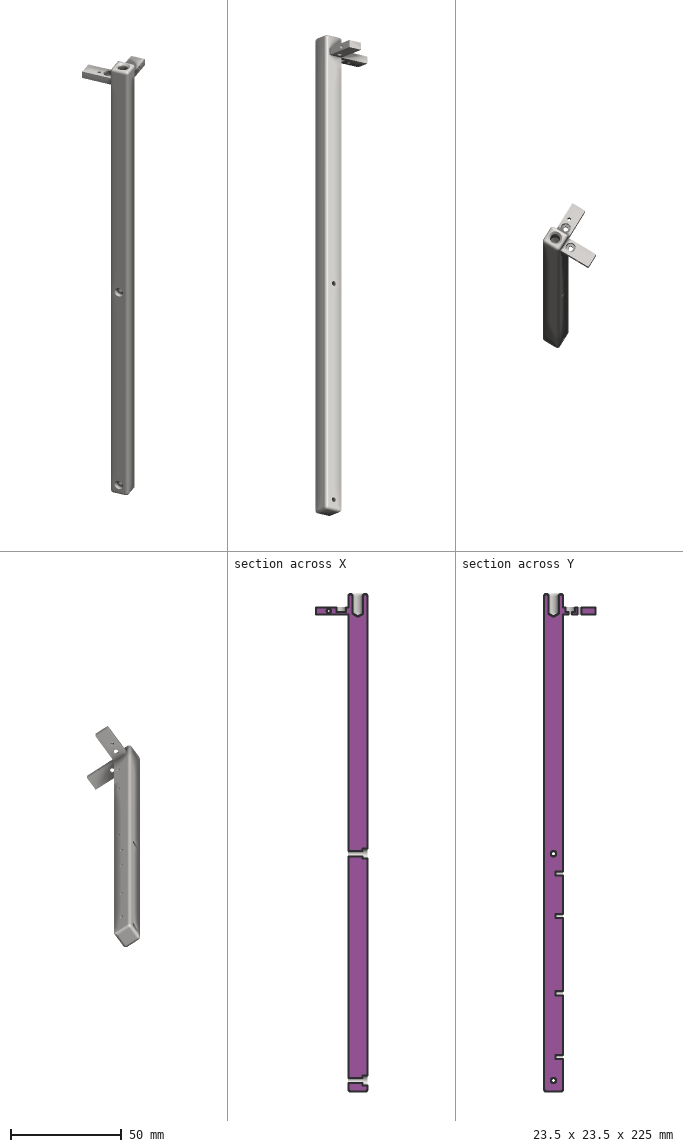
import cadquery as cq

LENGTH = 225.0
BAR = 8.8
EDGE_FILLET = 1.4
END_FILLET = 1.4

SPAN = 23.5
ARM_REACH = SPAN - BAR
ARM_WIDTH = 6.8
ARM_THICKNESS = 3.4
ARM_Z = 217.1

BORE_DIAMETER = 2.2
ARM_SEAT_DIAMETER = 4.5
ARM_SEAT_DEPTH = 2.0
ARM_SCREW_OFFSET = 3.2
BAR_SEAT_DIAMETER = 4.3
BAR_SEAT_DEPTH = 2.2
BAR_SCREW_HEIGHTS = (5.2, 107.5)

PIN_DIAMETER = 1.62
PIN_DEPTH = 3.4
UPPER_PIN_Y = 1.8
UPPER_PIN_HEIGHTS = (119.5, 177.3, 201.0)
LOWER_PIN_Y = 0.2
LOWER_PIN_HEIGHTS = (15.8, 44.5, 79.5, 98.5)
X_ARM_PIN_OFFSET = 7.5
X_ARM_PIN_Y = 0.2
Y_ARM_PIN_OFFSET = 8.8

SOCKET_DIAMETER = 4.5
SOCKET_DEPTH = 9.0
SOCKET_MOUTH_DIAMETER = 6.3
SOCKET_TIP_DEPTH = 1.4

HALF = BAR / 2
ARM_CENTRE = HALF - ARM_WIDTH / 2


def cylinder(diameter, length, start, direction):
    return cq.Workplane(cq.Solid.makeCylinder(
        diameter / 2, length, cq.Vector(*start), cq.Vector(*direction)))


def screw_hole(start, direction, length, seat_diameter, seat_depth):
    bore = cylinder(BORE_DIAMETER, length, start, direction)
    return bore.union(cylinder(seat_diameter, seat_depth, start, direction))


def make_bar():
    bar = cq.Workplane("XY").box(BAR, BAR, LENGTH, centered=(True, True, False))
    bar = bar.edges("|Z").edges("<Y or (>X and >Y)").fillet(EDGE_FILLET)
    return bar.faces("<Z or >Z").edges().fillet(END_FILLET)


def make_arms():
    x_arm = cq.Workplane("XY").box(ARM_REACH + HALF, ARM_WIDTH, ARM_THICKNESS)
    x_arm = x_arm.translate((-(ARM_REACH + HALF) / 2, ARM_CENTRE, ARM_Z))
    y_arm = cq.Workplane("XY").box(ARM_WIDTH, ARM_REACH + HALF, ARM_THICKNESS)
    y_arm = y_arm.translate((-ARM_CENTRE, (ARM_REACH + HALF) / 2, ARM_Z))
    return x_arm.union(y_arm)


def cut_arm_holes(body):
    arm_top = ARM_Z + ARM_THICKNESS / 2
    screw_distance = HALF + ARM_SCREW_OFFSET
    for x, y in ((-screw_distance, ARM_CENTRE), (-ARM_CENTRE, screw_distance)):
        body = body.cut(screw_hole((x, y, arm_top), (0, 0, -1), ARM_THICKNESS,
                                   ARM_SEAT_DIAMETER, ARM_SEAT_DEPTH))
    x_arm_pin = (-HALF - X_ARM_PIN_OFFSET, X_ARM_PIN_Y, arm_top)
    body = body.cut(cylinder(PIN_DIAMETER, ARM_THICKNESS, x_arm_pin, (0, 0, -1)))
    y_arm_pin = (-HALF, HALF + Y_ARM_PIN_OFFSET, ARM_Z)
    return body.cut(cylinder(PIN_DIAMETER, ARM_WIDTH, y_arm_pin, (1, 0, 0)))


def cut_bar_screws(body):
    for z in BAR_SCREW_HEIGHTS:
        body = body.cut(screw_hole((0, -HALF, z), (0, 1, 0), BAR,
                                   BAR_SEAT_DIAMETER, BAR_SEAT_DEPTH))
    return body


def cut_bar_pins(body):
    for y, heights in ((UPPER_PIN_Y, UPPER_PIN_HEIGHTS), (LOWER_PIN_Y, LOWER_PIN_HEIGHTS)):
        for z in heights:
            body = body.cut(cylinder(PIN_DIAMETER, PIN_DEPTH, (-HALF, y, z), (1, 0, 0)))
    return body


def make_socket():
    radius = SOCKET_DIAMETER / 2
    mouth_radius = SOCKET_MOUTH_DIAMETER / 2
    countersink_z = LENGTH - (mouth_radius - radius)
    bottom_z = LENGTH - SOCKET_DEPTH
    profile = [
        (0, LENGTH),
        (mouth_radius, LENGTH),
        (radius, countersink_z),
        (radius, bottom_z),
        (0, bottom_z - SOCKET_TIP_DEPTH),
    ]
    return cq.Workplane("XZ").polyline(profile).close().revolve(360, (0, 0), (0, 1))


body = make_bar().union(make_arms())
body = cut_arm_holes(body)
body = cut_bar_screws(body)
body = cut_bar_pins(body)
result = body.cut(make_socket())